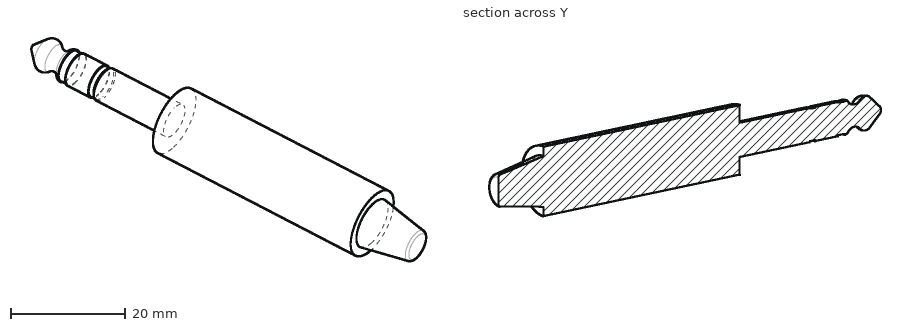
import cadquery as cq
import math

total_length = 83.55
cone_end = 2.4
dome_peak = 3.5
neck_start = 4.7
neck_end = 7.2
collar_end = 7.9
ring_start = 9.4
ring_end = 14.45
sleeve_start = 15.45
body_start = 30.8
body_end = 73.8

shaft_radius = 3.2
neck_radius = 2.1
collar_face_radius = 2.75
insulator_radius = 3.0
body_diameter = 12.8
body_radius = body_diameter / 2
tail_base_radius = 4.7
tail_end_radius = 2.9

cone_half_angle = 44

sleeve_chamfer = 0.25
tail_fillet = 0.5

cone_slope = math.radians(cone_half_angle)
dome_radius = (dome_peak - cone_end) / math.sin(cone_slope)
dome_center_height = shaft_radius - dome_radius
cone_end_radius = dome_center_height + dome_radius * math.cos(cone_slope)
neck_start_radius = dome_center_height + math.sqrt(dome_radius**2 - (neck_start - dome_peak) ** 2)

cone_apex = cone_end - cone_end_radius / math.tan(cone_slope)
point_radius = -cone_apex * math.sin(cone_slope) / (1 - math.sin(cone_slope))
cone_start = point_radius * (1 - math.sin(cone_slope))
cone_start_radius = point_radius * math.cos(cone_slope)

neck_middle = (neck_start + neck_end) / 2


def make_tip_and_shaft():
    """Tip, neck, contact ring and sleeve as one turned profile in (axis, radius)."""
    profile = (
        cq.Workplane("XY")
        .moveTo(0, 0)
        .radiusArc((cone_start, cone_start_radius), point_radius)
        .lineTo(cone_end, cone_end_radius)
        .threePointArc((dome_peak, shaft_radius), (neck_start, neck_start_radius))
        .threePointArc((neck_middle, neck_radius), (neck_end, collar_face_radius))
        .tangentArcPoint((collar_end, shaft_radius), relative=False)
        .lineTo(collar_end, insulator_radius)
        .lineTo(ring_start, insulator_radius)
        .lineTo(ring_start, shaft_radius)
        .lineTo(ring_end, shaft_radius)
        .lineTo(ring_end, insulator_radius)
        .lineTo(sleeve_start, insulator_radius)
        .lineTo(sleeve_start + sleeve_chamfer, shaft_radius)
        .lineTo(body_start, shaft_radius)
        .lineTo(body_start, 0)
        .close()
    )
    return profile.revolve(360, (0, 0, 0), (1, 0, 0))


def make_body():
    """Plain cylindrical handle."""
    handle = cq.Workplane("YZ", origin=(body_start, 0, 0)).circle(body_radius).extrude(body_end - body_start)
    return handle


def make_tail():
    """Tapered cable relief with a rounded end."""
    tail = (
        cq.Workplane("XY")
        .moveTo(body_end, 0)
        .lineTo(body_end, tail_base_radius)
        .lineTo(total_length, tail_end_radius)
        .lineTo(total_length, 0)
        .close()
        .revolve(360, (0, 0, 0), (1, 0, 0))
    )
    return tail.faces(">X").edges().fillet(tail_fillet)


result = make_tip_and_shaft().union(make_body()).union(make_tail())